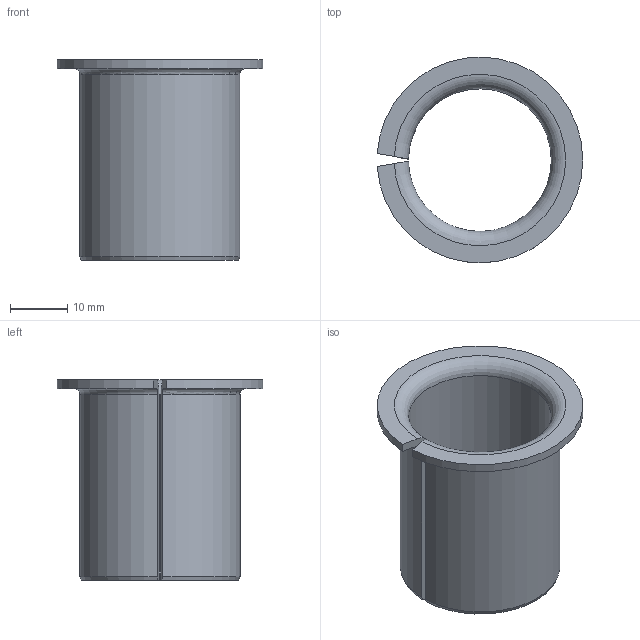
import cadquery as cq
import math

bore_radius = 12.5
wall = 1.5
length = 35.0
flange_radius = 18.0
bend_inner_radius = 1.0
chamfer_height = 0.6
chamfer_angle = 20.0
seam_gap_at_bore = 0.35
seam_face_angle = 10.0

sleeve_radius = bore_radius + wall
bend_outer_radius = bend_inner_radius + wall
bend_center_radius = bore_radius + bend_outer_radius
bend_center_z = length - bend_outer_radius
flange_bottom_z = length - wall
chamfer_width = chamfer_height * math.tan(math.radians(chamfer_angle))


def bend_point(radius):
    """Middle of a quarter-circle bend, as (distance from axis, Z)."""
    offset = radius * math.sqrt(0.5)
    return (bend_center_radius - offset, bend_center_z + offset)


def make_bush():
    """Full ring: sleeve curling outwards into the flange at constant wall thickness."""
    profile = (
        cq.Workplane("XZ")
        .moveTo(bore_radius, 0)
        .lineTo(sleeve_radius - chamfer_width, 0)
        .lineTo(sleeve_radius, chamfer_height)
        .lineTo(sleeve_radius, bend_center_z)
        .threePointArc(bend_point(bend_inner_radius), (bend_center_radius, flange_bottom_z))
        .lineTo(flange_radius, flange_bottom_z)
        .lineTo(flange_radius, length)
        .lineTo(bend_center_radius, length)
        .threePointArc(bend_point(bend_outer_radius), (bore_radius, bend_center_z))
        .close()
    )
    ring = profile.revolve(360, (0, 0, 0), (0, 1, 0))
    return ring.rotate((0, 0, 0), (0, 0, 1), 180)


def make_seam():
    """Wedge that opens the ring along its full length, widening outwards."""
    slope = math.tan(math.radians(seam_face_angle))
    apex_radius = bore_radius - seam_gap_at_bore / 2 / slope
    reach = flange_radius + wall
    half_width = (reach - apex_radius) * slope
    outline = [(-apex_radius, 0), (-reach, half_width), (-reach, -half_width)]
    return cq.Workplane("XY").polyline(outline).close().extrude(length)


result = make_bush().cut(make_seam())